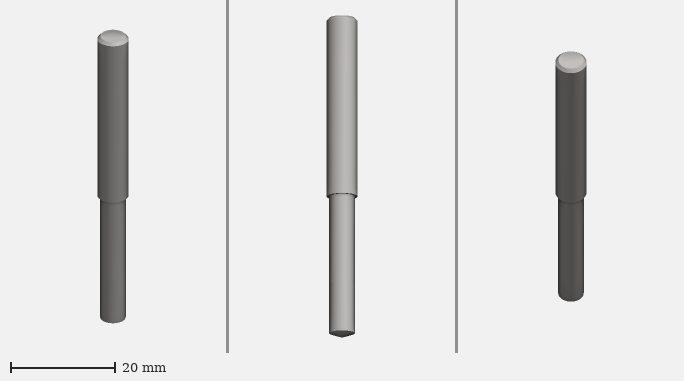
import cadquery as cq

TOTAL_LENGTH = 62.8
SHANK_RADIUS = 3.0
DRILL_RADIUS = 2.45

TOP_Z = TOTAL_LENGTH / 2
TIP_Z = -TOTAL_LENGTH / 2
SHANK_LENGTH = 35.0
SHOULDER_Z = TOP_Z - SHANK_LENGTH
CUTTING_LENGTH = 10.5
JOINT_Z = TIP_Z + CUTTING_LENGTH

CHAMFER = 0.6
POINT_HEIGHT = 0.9


def revolve_profile(points):
    """Turn a closed (radius, height) outline around the Z axis."""
    return cq.Workplane("XZ").polyline(points).close().revolve(360, (0, 0), (0, 1))


def make_holder():
    """Chamfered shank with the narrower neck below its shoulder."""
    return revolve_profile([
        (0, JOINT_Z),
        (DRILL_RADIUS, JOINT_Z),
        (DRILL_RADIUS, SHOULDER_Z),
        (SHANK_RADIUS, SHOULDER_Z),
        (SHANK_RADIUS, TOP_Z - CHAMFER),
        (SHANK_RADIUS - CHAMFER, TOP_Z),
        (0, TOP_Z),
    ])


def make_cutting_end():
    """Cylindrical cutting end with a conical point."""
    return revolve_profile([
        (0, TIP_Z),
        (DRILL_RADIUS, TIP_Z + POINT_HEIGHT),
        (DRILL_RADIUS, JOINT_Z),
        (0, JOINT_Z),
    ])


holder = make_holder()
cutting_end = make_cutting_end()

result = cq.Compound.makeCompound([holder.val(), cutting_end.val()])